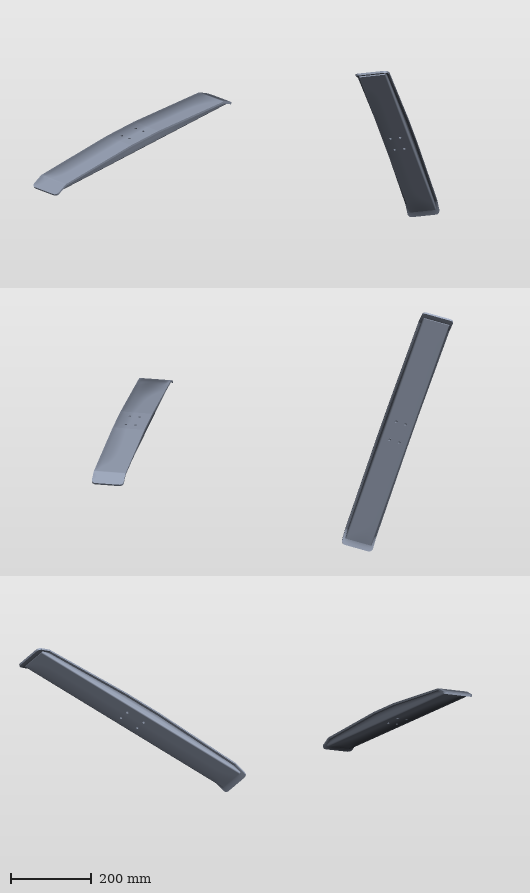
import cadquery as cq
import math

WIDTH = 80.0
LENGTH = 680.0
HEIGHT = 35.0

PLATE_THICKNESS = 5.0
LEVEL_HALF_LENGTH = 52.5
ARM_ANGLE = math.radians(3)
TIP_ANGLE = math.radians(25)
BEND_INNER_RADIUS = 4.0
BEND_OUTER_RADIUS = BEND_INNER_RADIUS + PLATE_THICKNESS
TIP_CORNER_RADIUS = 10.0

STIFFENER_INSET = 6.0
STIFFENER_WIDTH = WIDTH - 2 * STIFFENER_INSET
STIFFENER_BOTTOM = 4.0
STIFFENER_HALF_LENGTH = 322.0
STIFFENER_EDGE_RADIUS = 4.0

HOLE_DIAMETER = 7.0
HOLE_SPACING_X = 24.5
HOLE_SPACING_Y = 53.0

ARM_SLOPE = math.tan(ARM_ANGLE)
TIP_SLOPE = math.tan(TIP_ANGLE)
TIP_TOP_Z = PLATE_THICKNESS * math.cos(TIP_ANGLE)
KNEE_Y = (
    LENGTH / 2 * TIP_SLOPE + TIP_TOP_Z - HEIGHT - LEVEL_HALF_LENGTH * ARM_SLOPE
) / (TIP_SLOPE - ARM_SLOPE)
KNEE_Z = HEIGHT - (KNEE_Y - LEVEL_HALF_LENGTH) * ARM_SLOPE


def bend_point(y, z, angle_before, angle_after, depth):
    """Point of the line lying `depth` under the plate's top, at a bend of that top."""
    mean_angle = (angle_before + angle_after) / 2
    reach = depth / math.cos((angle_after - angle_before) / 2)
    return (y - reach * math.sin(mean_angle), z - reach * math.cos(mean_angle))


def plate_line(depth):
    """Points from the level middle to the +Y tip, `depth` under the plate's top."""
    return [
        bend_point(LEVEL_HALF_LENGTH, HEIGHT, 0, ARM_ANGLE, depth),
        bend_point(KNEE_Y, KNEE_Z, ARM_ANGLE, TIP_ANGLE, depth),
        bend_point(LENGTH / 2, TIP_TOP_Z, TIP_ANGLE, TIP_ANGLE, depth),
    ]


def mirrored(points):
    """The same points on the -Y side, in reverse order."""
    return [(-y, z) for y, z in reversed(points)]


def extrude_across(points, width):
    """Solid from a YZ outline, centred on X = 0."""
    return cq.Workplane("YZ").polyline(points).close().extrude(width / 2, both=True)


def knee_edges(plate, depth):
    """The two crosswise edges at the knees, on the plate's top or underside."""
    knee_y, knee_z = plate_line(depth)[1]
    reach = PLATE_THICKNESS / 4
    edges = plate.edges("|X")
    for_side = [
        edges.edges(
            cq.selectors.BoxSelector(
                (-WIDTH, side * knee_y - reach, knee_z - reach),
                (WIDTH, side * knee_y + reach, knee_z + reach),
            )
        )
        for side in (-1, 1)
    ]
    return for_side[0].add(for_side[1])


def make_plate():
    top = plate_line(0)
    underside = plate_line(PLATE_THICKNESS)
    outline = mirrored(top) + top + underside[::-1] + mirrored(underside)[::-1]
    plate = extrude_across(outline, WIDTH)
    plate = knee_edges(plate, 0).fillet(BEND_OUTER_RADIUS)
    plate = knee_edges(plate, PLATE_THICKNESS).fillet(BEND_INNER_RADIUS)
    for end in ("<Y", ">Y"):
        plate = plate.faces(end).edges("not |X").fillet(TIP_CORNER_RADIUS)
    return plate


def make_stiffener():
    level_end, knee, tip = plate_line(PLATE_THICKNESS / 2)
    end_z = tip[1] + (tip[0] - STIFFENER_HALF_LENGTH) * TIP_SLOPE
    half = [
        level_end,
        knee,
        (STIFFENER_HALF_LENGTH, end_z),
        (STIFFENER_HALF_LENGTH, STIFFENER_BOTTOM),
    ]
    stiffener = extrude_across(mirrored(half) + half, STIFFENER_WIDTH)
    return stiffener.faces("<Z").edges("|Y").fillet(STIFFENER_EDGE_RADIUS)


def make_holes():
    return (
        cq.Workplane("XY")
        .rarray(HOLE_SPACING_X, HOLE_SPACING_Y, 2, 2)
        .circle(HOLE_DIAMETER / 2)
        .extrude(HEIGHT)
    )


result = make_plate().union(make_stiffener()).cut(make_holes())